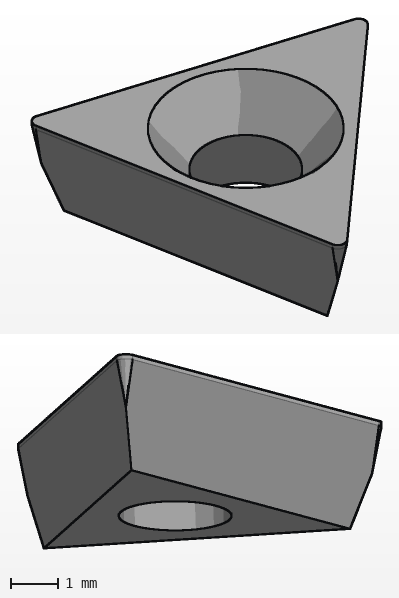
import cadquery as cq
import math

OVERALL_LENGTH = 7.95
THICKNESS = 2.38
CORNER_RADIUS = 0.2
LAND_HEIGHT = 0.1
CLEARANCE_ANGLE = 11.0
BORE_DIAMETER = 2.4
COUNTERSINK_DIAMETER = 4.165
COUNTERSINK_DEPTH = 1.1
VERTEX_ANGLES = (90, 210, 330)

core_side = OVERALL_LENGTH - 2 * CORNER_RADIUS
core_circumradius = core_side / math.sqrt(3)
clearance_slope = math.tan(math.radians(CLEARANCE_ANGLE))

land_bottom = THICKNESS - LAND_HEIGHT
corner_cone_height = CORNER_RADIUS / clearance_slope
sharp_level = land_bottom - corner_cone_height


def triangle_points(circumradius):
    """Vertices of an equilateral triangle pointing toward +Y."""
    angles = [math.radians(angle) for angle in VERTEX_ANGLES]
    return [(circumradius * math.cos(a), circumradius * math.sin(a)) for a in angles]


def triangle_at(height, circumradius):
    return cq.Workplane("XY").workplane(offset=height).polyline(triangle_points(circumradius)).close()


def make_sharp_base():
    """Tapered body below the level where the corners become sharp."""
    return triangle_at(sharp_level, core_circumradius).extrude(-sharp_level, taper=CLEARANCE_ANGLE)


def make_flared_section():
    """Clearance section whose corners open out as cones from the sharp vertices."""
    return triangle_at(sharp_level, core_circumradius).extrude(corner_cone_height, taper=-CLEARANCE_ANGLE)


def make_land():
    """Straight-sided rounded triangle along the cutting edge."""
    return triangle_at(land_bottom, core_circumradius).offset2D(CORNER_RADIUS).extrude(LAND_HEIGHT)


def make_screw_hole():
    """Through bore with a conical seat opening at the top face."""
    seat_bottom = THICKNESS - COUNTERSINK_DEPTH
    outline = [
        (0, 0),
        (BORE_DIAMETER / 2, 0),
        (BORE_DIAMETER / 2, seat_bottom),
        (COUNTERSINK_DIAMETER / 2, THICKNESS),
        (0, THICKNESS),
    ]
    return cq.Workplane("XZ").polyline(outline).close().revolve(360, (0, 0), (0, 1))


body = make_sharp_base().union(make_flared_section()).union(make_land())
result = body.cut(make_screw_hole()).clean()